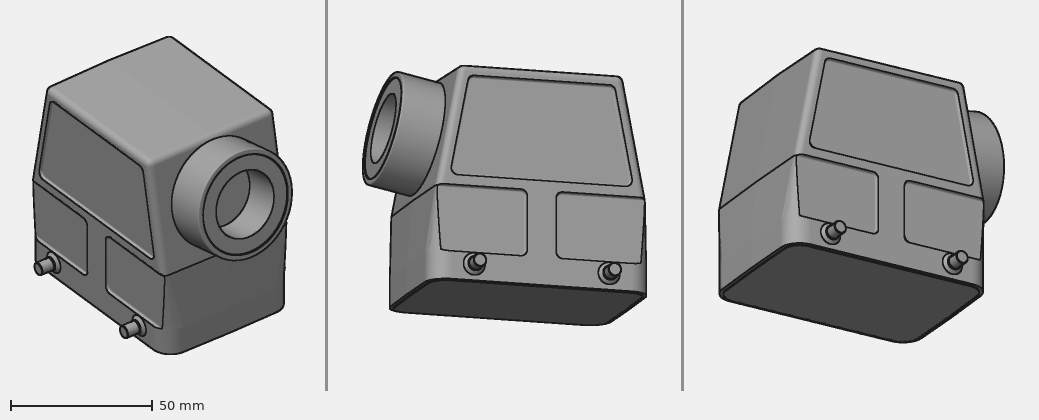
import cadquery as cq
import math

half_width = 28.1
end_bulge = 0.4
base_half_length = 41.2
knee_half_length = 39.3
lip_height = 0.4
lip_inset = 1.3
base_top = 11.1
knee_height = 34.3
knee_band = 0.7
roof_height = 79.0
end_tilt = 11.0
base_corner_radius = 7.6
edge_radius = 2.5

panel_depth = 1.05
panel_wall_width = 0.6
panel_floor_radius = 0.6
panel_corner_radius = 2.5
upper_panel_bottom = 38.3
upper_panel_top = 74.8
upper_panel_margin = 4.4
lower_panel_bottom = 10.5
lower_panel_top = 34.7
lower_panel_gap = 10.7

pin_diameter = 4.8
pin_spacing = 50.0
pin_height = 6.3
pin_tip = 35.1
pin_edge_chamfer = 0.2
boss_base_diameter = 8.0
boss_tip_diameter = 5.2
boss_cone_height = 1.2
boss_height = 1.7

collar_diameter = 41.6
collar_end_x = 50.2
collar_end_z = 60.05
collar_length = 14.8
collar_root = 7.6
collar_edge_radius = 0.5
insert_diameter = 37.0
insert_bore = 25.5
insert_recess = 0.3
mouth_diameter = 37.5

reach = 95.3

tilt = math.radians(end_tilt)
end_slope = math.tan(tilt)
collar_end = cq.Vector(collar_end_x, 0, collar_end_z)
collar_axis = cq.Vector(math.cos(tilt), 0, math.sin(tilt))
roof_half_length = knee_half_length - (roof_height - knee_height) * end_slope
bulge_angle = math.degrees(math.atan(end_bulge / half_width))


def section_wire(height, half_length, corner_radius, inset=0.0):
    """Horizontal section: rectangle with slightly pointed ends and rounded corners."""
    tip = half_length - inset
    corner = tip - end_bulge
    side = half_width - inset
    points = [(-tip, 0), (-corner, -side), (corner, -side), (tip, 0), (corner, side), (-corner, side)]
    outline = cq.Wire.makePolygon([cq.Vector(x, y, height) for x, y in points], close=True)
    face = cq.Face.makeFromWires(outline)
    side_corners = [vertex for vertex in face.Vertices() if abs(vertex.Y) > 1]
    return face.fillet2D(corner_radius, side_corners).outerWire()


def loft_sections(lower, upper):
    """Straight-ruled solid between two outlines."""
    return cq.Workplane(cq.Solid.makeLoft([lower, upper], True))


def lower_shell():
    """Lip, straight base band, and the drafted band whose corners sharpen towards the knee."""
    lip_radius = base_corner_radius - lip_inset
    band_bottom = knee_height - knee_band
    band_half_length = knee_half_length + knee_band * end_slope / 2
    base_low = section_wire(lip_height, base_half_length, base_corner_radius)
    base_high = section_wire(base_top, base_half_length, base_corner_radius)
    knee_low = section_wire(band_bottom, band_half_length, edge_radius)
    knee_high = section_wire(knee_height, knee_half_length, edge_radius)
    lip_low = section_wire(0, base_half_length, lip_radius, lip_inset)
    lip_high = section_wire(lip_height, base_half_length, lip_radius, lip_inset)
    shell = loft_sections(lip_low, lip_high)
    for low, high in [(base_low, base_high), (base_high, knee_low), (knee_low, knee_high)]:
        shell = shell.union(loft_sections(low, high))
    return shell


def upper_shell():
    """Tilted ends and crowned roof, drafted both ways from Y = 0, with rounded edges."""
    skirt = 1.0
    skirt_half_length = knee_half_length + skirt * end_slope
    outline = [
        (-skirt_half_length, knee_height - skirt),
        (skirt_half_length, knee_height - skirt),
        (roof_half_length, roof_height),
        (-roof_half_length, roof_height),
    ]
    profile = cq.Workplane("XZ").polyline(outline).close()
    outer_edges = cq.selectors.BoxSelector((-reach, -reach, knee_height), (reach, -1, reach))
    half = profile.extrude(half_width, taper=bulge_angle).edges(outer_edges).fillet(edge_radius)
    shell = half.union(half.mirror("XZ"))
    above_knee = cq.Workplane().box(2 * reach, 2 * reach, reach, centered=(True, True, False))
    return shell.intersect(above_knee.translate((0, 0, knee_height)))


def pressed_panel(outline):
    """Sloped-wall recess cutter for the -Y side, from its outline on the side face."""
    corners = cq.Wire.makePolygon([cq.Vector(x, -half_width, z) for x, z in outline], close=True)
    mouth = cq.Face.makeFromWires(corners)
    mouth = mouth.fillet2D(panel_corner_radius, mouth.Vertices())
    floor_wire = mouth.outerWire().offset2D(-panel_wall_width)[0].translate(cq.Vector(0, panel_depth, 0))
    cutter = loft_sections(mouth.outerWire(), floor_wire)
    return cutter.faces(">Y").edges().fillet(panel_floor_radius)


def upper_panel():
    """Tapering recess above the knee, parallel to the tilted ends."""
    def half_length_at(height):
        return knee_half_length - (height - knee_height) * end_slope - upper_panel_margin

    bottom = half_length_at(upper_panel_bottom)
    top = half_length_at(upper_panel_top)
    return pressed_panel(
        [
            (-bottom, upper_panel_bottom),
            (bottom, upper_panel_bottom),
            (top, upper_panel_top),
            (-top, upper_panel_top),
        ]
    )


def lower_panel():
    """Recess at the +X end, open past the corner."""
    inner = lower_panel_gap / 2
    outer = base_half_length + 2 * panel_corner_radius
    return pressed_panel(
        [
            (inner, lower_panel_bottom),
            (outer, lower_panel_bottom),
            (outer, lower_panel_top),
            (inner, lower_panel_top),
        ]
    )


def locking_pin():
    """Pin on the -Y side with its conical boss."""
    pin_radius = pin_diameter / 2
    boss_base_radius = boss_base_diameter / 2
    boss_tip_radius = boss_tip_diameter / 2
    profile = [
        (0, half_width - panel_depth),
        (boss_base_radius, half_width - panel_depth),
        (boss_base_radius, half_width),
        (boss_tip_radius, half_width + boss_cone_height),
        (boss_tip_radius, half_width + boss_height),
        (pin_radius, half_width + boss_height),
        (pin_radius, pin_tip - pin_edge_chamfer),
        (pin_radius - pin_edge_chamfer, pin_tip),
        (0, pin_tip),
    ]
    pin = cq.Workplane("XY").polyline(profile).close().revolve(360, (0, 0, 0), (0, 1, 0))
    return pin.mirror("XZ").translate((0, 0, pin_height))


def on_collar_axis(diameter, start, length):
    """Cylinder on the collar axis; start is measured outwards from the collar end face."""
    plane = cq.Plane(origin=collar_end + collar_axis * start, xDir=(0, 1, 0), normal=collar_axis)
    return cq.Workplane(plane).circle(diameter / 2).extrude(length)


def make_housing():
    """Shell with its collar, pressed panels and locking pins, as one body."""
    housing = lower_shell().union(upper_shell())
    collar = on_collar_axis(collar_diameter, -collar_length - collar_root, collar_length + collar_root)
    housing = housing.union(collar.faces(">X").edges().fillet(collar_edge_radius))
    pocket = on_collar_axis(insert_diameter, -collar_length, collar_length)
    mouth_chamfer = (mouth_diameter - insert_diameter) / 2
    mouth = cq.Solid.makeCone(
        mouth_diameter / 2, insert_diameter / 2, mouth_chamfer, collar_end, collar_axis * -1
    )
    housing = housing.cut(pocket).cut(cq.Workplane(mouth))
    end_panel = lower_panel()
    for panel in [upper_panel(), end_panel, end_panel.mirror("YZ")]:
        housing = housing.cut(panel).cut(panel.mirror("XZ"))
    for x in [-pin_spacing / 2, pin_spacing / 2]:
        pin = locking_pin().translate((x, 0, 0))
        housing = housing.union(pin).union(pin.mirror("XZ"))
    return housing


def make_insert():
    """Ring filling the collar pocket, just below its end face."""
    length = collar_length - insert_recess
    ring = on_collar_axis(insert_diameter, -collar_length, length)
    return ring.cut(on_collar_axis(insert_bore, -collar_length, length))


housing = make_housing()
insert = make_insert()
result = cq.Compound.makeCompound([housing.val(), insert.val()])